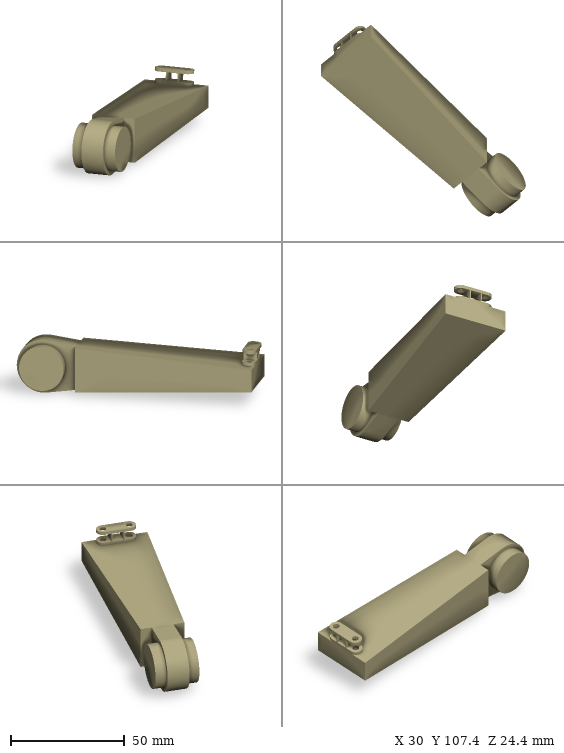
import cadquery as cq
import math

ARM_LENGTH = 80.0
ARM_REAR_WIDTH = 30.0
ARM_REAR_HEIGHT = 10.0
ARM_FRONT_WIDTH = 20.0
ARM_FRONT_HEIGHT = 20.0

KNUCKLE_RADIUS = 12.0
KNUCKLE_WIDTH = 10.0
AXIS_TO_ARM = 15.0
ROLLER_RADIUS = 10.0
ROLLER_WIDTH = 20.0

PLATE_LENGTH = 18.0
PLATE_WIDTH = 6.0
PLATE_THICKNESS = 1.5
PLATE_GAP = 4.0
HOLE_SPACING = 12.0
HOLE_DIAMETER = 3.0
WEB_THICKNESS = 0.5
WEB_OUTER_SPAN = 6.0
WEB_EMBED = 0.5

ARM_REAR_Y = AXIS_TO_ARM + ARM_LENGTH
TOP_SLOPE = math.degrees(math.atan2((ARM_FRONT_HEIGHT - ARM_REAR_HEIGHT) / 2, ARM_LENGTH))


def make_arm():
    """Ruled taper from the wide, low rear end to the square front end."""
    return (
        cq.Workplane("XZ", origin=(0, ARM_REAR_Y, 0))
        .rect(ARM_REAR_WIDTH, ARM_REAR_HEIGHT)
        .workplane(offset=ARM_LENGTH)
        .rect(ARM_FRONT_WIDTH, ARM_FRONT_HEIGHT)
        .loft(ruled=True, combine=True)
    )


def make_knuckle():
    """Round eye whose sides run tangentially to the top and bottom of the arm's front end."""
    half_height = ARM_FRONT_HEIGHT / 2
    corner_angle = math.atan2(half_height, AXIS_TO_ARM)
    corner_distance = math.hypot(half_height, AXIS_TO_ARM)
    tangent_angle = corner_angle + math.acos(KNUCKLE_RADIUS / corner_distance)
    tangent_y = KNUCKLE_RADIUS * math.cos(tangent_angle)
    tangent_z = KNUCKLE_RADIUS * math.sin(tangent_angle)
    return (
        cq.Workplane("YZ")
        .moveTo(AXIS_TO_ARM, half_height)
        .lineTo(tangent_y, tangent_z)
        .threePointArc((-KNUCKLE_RADIUS, 0), (tangent_y, -tangent_z))
        .lineTo(AXIS_TO_ARM, -half_height)
        .close()
        .extrude(KNUCKLE_WIDTH / 2, both=True)
    )


def make_roller():
    return cq.Workplane("YZ").circle(ROLLER_RADIUS).extrude(ROLLER_WIDTH / 2, both=True)


def make_plate(bottom):
    """Round-ended plate with a hole at the centre of each end."""
    return (
        cq.Workplane("XY", origin=(0, -PLATE_WIDTH / 2, bottom))
        .slot2D(PLATE_LENGTH, PLATE_WIDTH)
        .extrude(PLATE_THICKNESS)
        .faces(">Z")
        .workplane(origin=(0, -PLATE_WIDTH / 2, 0))
        .pushPoints([(-HOLE_SPACING / 2, 0), (HOLE_SPACING / 2, 0)])
        .hole(HOLE_DIAMETER)
    )


def make_bracket():
    """Bracket built flat with its rear edge on the X axis, then tilted onto the arm's top face."""
    bracket = make_plate(0).union(make_plate(PLATE_THICKNESS + PLATE_GAP))
    web_offset = (WEB_OUTER_SPAN - WEB_THICKNESS) / 2
    webs = (
        cq.Workplane("XY", origin=(0, -PLATE_WIDTH / 2, PLATE_THICKNESS + PLATE_GAP / 2))
        .pushPoints([(-web_offset, 0), (web_offset, 0)])
        .box(WEB_THICKNESS, PLATE_WIDTH, PLATE_GAP + 2 * WEB_EMBED)
    )
    return (
        bracket.union(webs)
        .rotate((0, 0, 0), (1, 0, 0), -TOP_SLOPE)
        .translate((0, ARM_REAR_Y, ARM_REAR_HEIGHT / 2))
    )


result = make_arm().union(make_knuckle()).union(make_roller()).union(make_bracket())